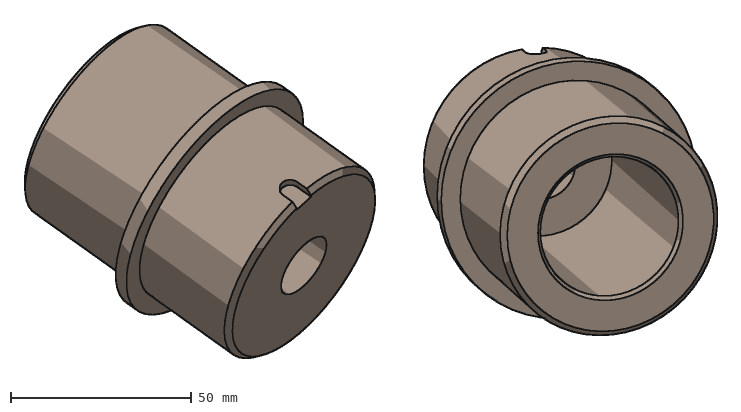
import cadquery as cq

length = 77.0
body_radius = 63.0 / 2
body_chamfer = 1.6

collar_radius = 74.0 / 2
collar_start = 40.0
collar_width = 4.0

bore_radius = 40.0 / 2
bore_chamfer = 1.0
end_hole_radius = 19.0 / 2

slot_width = 6.0
slot_length = 8.0
slot_depth = 2.5

wall = body_radius - bore_radius
bore_depth = length - wall


def cylinder_along_x(radius, start, depth):
    return cq.Workplane("YZ", origin=(start, 0, 0)).circle(radius).extrude(depth)


def sleeve_body():
    body = cylinder_along_x(body_radius, 0, length).edges().chamfer(body_chamfer)
    collar = cylinder_along_x(collar_radius, collar_start, collar_width)
    return body.union(collar)


def stepped_bore():
    bore = cylinder_along_x(bore_radius, 0, bore_depth)
    lead_in = (
        cq.Workplane("YZ")
        .circle(bore_radius + bore_chamfer)
        .workplane(offset=bore_chamfer)
        .circle(bore_radius)
        .loft()
    )
    end_hole = cylinder_along_x(end_hole_radius, 0, length)
    return bore.union(lead_in).union(end_hole)


def locating_slot():
    slot_radius = slot_width / 2
    round_center = length - slot_length + slot_radius
    return (
        cq.Workplane("XY", origin=(0, 0, body_radius - slot_depth))
        .moveTo(length, -slot_radius)
        .lineTo(round_center, -slot_radius)
        .threePointArc((length - slot_length, 0), (round_center, slot_radius))
        .lineTo(length, slot_radius)
        .close()
        .extrude(slot_depth)
    )


result = sleeve_body().cut(stepped_bore()).cut(locating_slot())